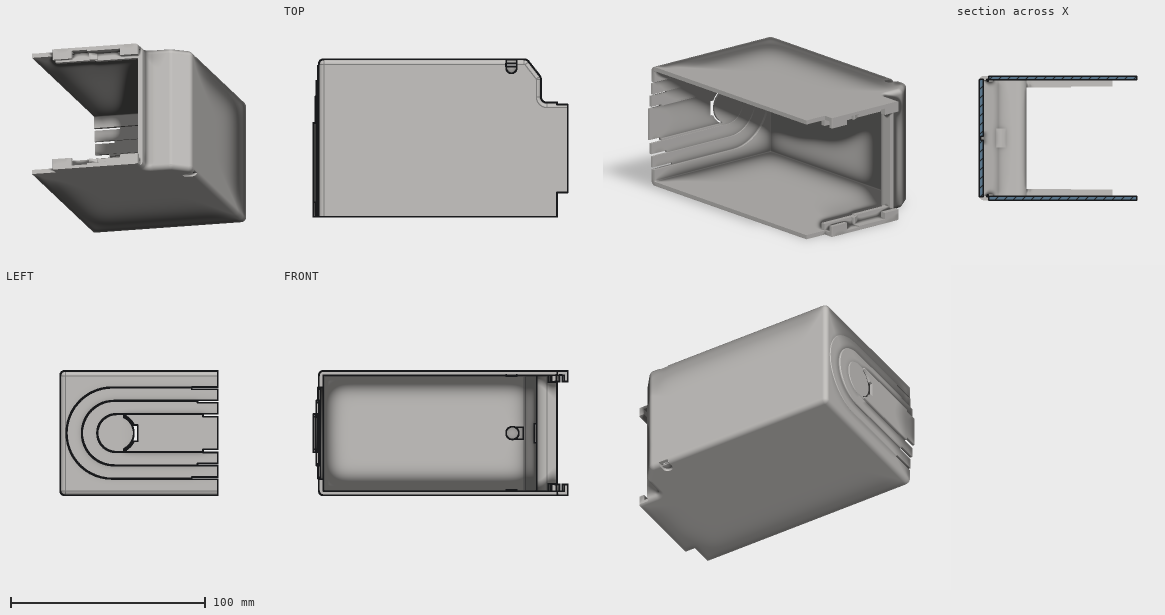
import cadquery as cq

WALL = 2.2
HEIGHT = 64.0
DEPTH = 81.0
PLATE_END_X = 122.4
EAR_END_X = 128.0
EAR_FRONT_Y = 12.5
EAR_BACK_Y = 57.8
EAR_CORNER_RADIUS = 0.4
EDGE_RADIUS = 2.5
INNER_RADIUS = 0.5
MARGIN = 10.0
CUT_CLEARANCE = 1.0

SLANT_START_X = 106.9
STEP_X = 114.2
SLANT_END_Y = 71.7
SHELF_Y = 58.8
SLANT_CORNER_RADIUS = 3.0
SHELF_CORNER_RADIUS = 2.9

HALF_HEIGHT = HEIGHT / 2
INNER_HALF = HALF_HEIGHT - WALL
INNER_BACK_Y = DEPTH - WALL

PANELS = [
    (23.6, 77.9, -0.4, 0.7, 1.0, 13.4),
    (16.75, 70.0, -1.4, -0.1, 1.1, 10.4),
]
PANEL_BEVEL = 0.35

TONGUE_HALF_WIDTH = 9.9
TONGUE_TOP_Y = 62.1
TONGUE_OUTER_X = -2.9
TONGUE_SKIN = 1.3
TONGUE_SIDE_WALL = 1.0
TONGUE_SLIT_WIDTH = 1.5
TONGUE_SLIT_LENGTH = 7.5
CENTRE_INNER_X = -0.5
DISC_OUTER_X = -1.8
DISC_RADIUS = 9.1
GAP_TOP_Y = 48.3
NOTCH_HALF_WIDTH = 4.1
NOTCH_BOTTOM_Y = 41.2

LATCH_X = 99.0
LATCH_Y = 76.5
LATCH_RADIUS = 2.7
LATCH_DEPTH = 1.7
LATCH_HOLE_LENGTH = 1.5
LATCH_BUMP = 0.7

KEYHOLE_X = 99.5
KEYHOLE_RADIUS = 3.3
KEYHOLE_DEPTH = 1.2
KEYHOLE_SLOT_WIDTH = 6.1
KEYHOLE_SLOT_DEPTH = 0.8
KEYHOLE_SLOT_END_X = 105.1
RAMP_HALF_WIDTH = 4.9
RAMP_RISE = 1.2
RAMP_TIP_Y = 69.5
RAMP_FOOT_Y = 67.0
RAMP_BACK_Y = 73.0

LIP_HEIGHT = 5.6
REAR_RAIL_HEIGHT = 5.9
RAIL_FRONT_X = (119.6, 122.1)
RAIL_REAR_X = (118.9, 121.4)
RAIL_STEP_Y = 33.7
RAIL_BLOCK_X = 117.8
RAIL_BLOCK_Y = 55.2
LEDGE_FRONT_Y = 22.2
LEDGE_HEIGHT = 0.4
TAB_X = 123.8
TAB_FRONT_Y = 30.8
TAB_SHOULDER_Y = 31.6
TAB_ROOT_Y = 34.8
FRONT_LIP_X = 126.0
FRONT_LIP_END_Y = 22.6
REAR_LIP_X = 125.0
REAR_LIP_START_Y = 48.3
EAR_RECESS_DEPTH = 0.7


def block(x0, x1, y0, y1, z0, z1):
    """Box between opposite corners."""
    return cq.Workplane("XY").box(x1 - x0, y1 - y0, z1 - z0, centered=False).translate((x0, y0, z0))


def both_plates(feature):
    """The feature together with its mirror image on the opposite plate."""
    return feature.union(feature.mirror("XY"))


def arch(half_width, top_y, x0, x1):
    """Round-topped prism along X, reaching past the open side."""
    centre_y = top_y - half_width
    return (
        cq.Workplane("YZ", origin=(x0, 0, 0))
        .moveTo(-MARGIN, -half_width)
        .lineTo(centre_y, -half_width)
        .threePointArc((top_y, 0), (centre_y, half_width))
        .lineTo(-MARGIN, half_width)
        .close()
        .extrude(x1 - x0)
    )


def bevelled_arch(half_width, top_y, x0, x1):
    """Arch with a bevel around its outer face."""
    return arch(half_width, top_y, x0, x1).faces("<X").edges().chamfer(PANEL_BEVEL)


def slit_pair(half_width, slit_width, length):
    """Slits that free both sides of a panel at the open edge."""
    slit = block(-MARGIN, WALL + CUT_CLEARANCE, -MARGIN, length, half_width - slit_width, half_width)
    return both_plates(slit)


def outline_solid():
    """Solid in the shape of the side plates, with both open ends overshooting."""
    far_x = EAR_END_X + MARGIN
    points = [
        (0, -MARGIN),
        (far_x, -MARGIN),
        (far_x, SHELF_Y),
        (STEP_X, SHELF_Y),
        (STEP_X, SLANT_END_Y),
        (SLANT_START_X, DEPTH),
        (0, DEPTH),
    ]
    solid = cq.Workplane("XY").workplane(offset=-HALF_HEIGHT).polyline(points).close().extrude(HEIGHT)
    for x, y, radius in (
        (STEP_X, SHELF_Y, SHELF_CORNER_RADIUS),
        (STEP_X, SLANT_END_Y, SLANT_CORNER_RADIUS),
        (SLANT_START_X, DEPTH, SLANT_CORNER_RADIUS),
        (0, DEPTH, EDGE_RADIUS),
    ):
        solid = solid.edges(cq.selectors.NearestToPointSelector((x, y, 0))).fillet(radius)
    return solid


def shell():
    """Rounded outer body, hollowed so that the Y = 0 and +X sides stay open."""
    plan = outline_solid()
    cavity = (
        plan.faces("<Z").wires().toPending()
        .offset2D(-WALL)
        .extrude(2 * INNER_HALF, combine=False)
        .translate((0, 0, WALL))
        .faces("<Z or >Z").edges().fillet(INNER_RADIUS)
    )
    body = plan.faces("<Z or >Z").edges().fillet(EDGE_RADIUS)
    body = body.intersect(block(0, EAR_END_X, 0, DEPTH, -HALF_HEIGHT, HALF_HEIGHT)).cut(cavity)
    for y0, y1 in ((0, EAR_FRONT_Y), (EAR_BACK_Y, DEPTH)):
        body = body.cut(block(PLATE_END_X, EAR_END_X, y0, y1, -HALF_HEIGHT, HALF_HEIGHT))
    return body.cut(block(PLATE_END_X, EAR_END_X, 0, DEPTH, -INNER_HALF, INNER_HALF))


def add_panels(body):
    """Raise each panel outward, hollow it from inside and free its open end with slits."""
    for half_width, top_y, outer_x, inner_x, slit_width, slit_length in PANELS:
        body = body.union(bevelled_arch(half_width, top_y, outer_x, inner_x))
        body = body.cut(arch(half_width, top_y, inner_x, WALL + CUT_CLEARANCE))
        body = body.cut(slit_pair(half_width, slit_width, slit_length))
    return body


def centre_panel():
    """Disc joined above to its surround, and a raised tongue ending in a concave arc."""
    centre_y = TONGUE_TOP_Y - TONGUE_HALF_WIDTH
    inner_half = TONGUE_HALF_WIDTH - TONGUE_SIDE_WALL

    def cylinder(radius):
        profile = cq.Workplane("YZ", origin=(TONGUE_OUTER_X, centre_y, 0)).circle(radius)
        return profile.extrude(WALL - TONGUE_OUTER_X)

    def below_gap_top(x0, x1, half_width):
        return block(x0, x1, -MARGIN, GAP_TOP_Y, -half_width, half_width)

    opening = cylinder(TONGUE_HALF_WIDTH)
    tongue = bevelled_arch(TONGUE_HALF_WIDTH, TONGUE_TOP_Y, TONGUE_OUTER_X, CENTRE_INNER_X)
    tongue = tongue.intersect(below_gap_top(TONGUE_OUTER_X, CENTRE_INNER_X, TONGUE_HALF_WIDTH))
    tongue = tongue.cut(below_gap_top(TONGUE_OUTER_X + TONGUE_SKIN, WALL, inner_half))
    notch = block(TONGUE_OUTER_X, WALL, NOTCH_BOTTOM_Y, centre_y, -NOTCH_HALF_WIDTH, NOTCH_HALF_WIDTH)
    tongue = tongue.cut(opening).cut(notch)

    surround = bevelled_arch(TONGUE_HALF_WIDTH, TONGUE_TOP_Y, DISC_OUTER_X, CENTRE_INNER_X)
    surround = surround.cut(below_gap_top(DISC_OUTER_X, CENTRE_INNER_X, TONGUE_HALF_WIDTH))
    depth_range = block(DISC_OUTER_X, CENTRE_INNER_X, 0, DEPTH, -HALF_HEIGHT, HALF_HEIGHT)
    disc = cylinder(DISC_RADIUS).intersect(depth_range)
    return tongue.union(surround).union(disc)


def add_centre_panel(body):
    """Open the surrounding panel right through, then fill in the stepped centre."""
    body = body.cut(arch(TONGUE_HALF_WIDTH, TONGUE_TOP_Y, TONGUE_OUTER_X, WALL + CUT_CLEARANCE))
    body = body.union(centre_panel())
    return body.cut(slit_pair(TONGUE_HALF_WIDTH, TONGUE_SLIT_WIDTH, TONGUE_SLIT_LENGTH))


def add_latches(body):
    """Round-ended recess with a bump under it and a slot through at the inner back face."""
    x0, x1 = LATCH_X - LATCH_RADIUS, LATCH_X + LATCH_RADIUS
    floor_z = HALF_HEIGHT - LATCH_DEPTH

    def round_pad(bottom_z, height):
        return cq.Workplane("XY", origin=(LATCH_X, LATCH_Y, bottom_z)).circle(LATCH_RADIUS).extrude(height)

    bump = round_pad(INNER_HALF - LATCH_BUMP, LATCH_BUMP)
    recess = round_pad(floor_z, LATCH_DEPTH)
    recess = recess.union(block(x0, x1, LATCH_Y, DEPTH, floor_z, HALF_HEIGHT))
    hole_y = INNER_BACK_Y - LATCH_HOLE_LENGTH
    hole = block(x0, x1, hole_y, INNER_BACK_Y, INNER_HALF - CUT_CLEARANCE, HALF_HEIGHT)
    return body.union(both_plates(bump)).cut(both_plates(recess.union(hole)))


def add_keyhole_and_ramp(body):
    """Round recess with a shallower slot, and a ramp standing on the inside of the step wall."""
    bore_plane = cq.Workplane("XZ", origin=(KEYHOLE_X, INNER_BACK_Y, 0))
    bore = bore_plane.circle(KEYHOLE_RADIUS).extrude(-KEYHOLE_DEPTH)
    half_slot = KEYHOLE_SLOT_WIDTH / 2
    slot_back_y = INNER_BACK_Y + KEYHOLE_SLOT_DEPTH
    slot = block(KEYHOLE_X, KEYHOLE_SLOT_END_X, INNER_BACK_Y, slot_back_y, -half_slot, half_slot)
    inner_step_x = STEP_X - WALL
    root_x = inner_step_x + WALL / 2
    tip_x = inner_step_x - RAMP_RISE
    ramp = (
        cq.Workplane("XY")
        .polyline([
            (root_x, RAMP_FOOT_Y),
            (inner_step_x, RAMP_FOOT_Y),
            (tip_x, RAMP_TIP_Y),
            (tip_x, RAMP_BACK_Y),
            (root_x, RAMP_BACK_Y),
        ])
        .close()
        .extrude(RAMP_HALF_WIDTH, both=True)
    )
    return body.cut(bore).cut(slot).union(ramp)


def add_ear_rails(body):
    """Stepped rail with a side tab, two lips hooking inward at the ear edge, and a recess between."""
    floor_z = -HALF_HEIGHT + WALL / 2
    inner_z = -INNER_HALF
    front_top = -HALF_HEIGHT + LIP_HEIGHT
    rear_top = -HALF_HEIGHT + REAR_RAIL_HEIGHT
    front_x0, front_x1 = RAIL_FRONT_X
    rear_x0, rear_x1 = RAIL_REAR_X
    rail = (
        block(front_x0, front_x1, EAR_FRONT_Y, TAB_ROOT_Y, floor_z, front_top)
        .union(block(rear_x0, rear_x1, RAIL_STEP_Y, EAR_BACK_Y, floor_z, rear_top))
        .union(block(RAIL_BLOCK_X, rear_x1, RAIL_BLOCK_Y, EAR_BACK_Y, floor_z, rear_top))
        .union(block(rear_x0, front_x1, LEDGE_FRONT_Y, RAIL_STEP_Y, floor_z, inner_z + LEDGE_HEIGHT))
    )
    tab = (
        cq.Workplane("XY", origin=(0, 0, floor_z))
        .polyline([
            (front_x0, TAB_FRONT_Y),
            (TAB_X, TAB_FRONT_Y),
            (TAB_X, TAB_SHOULDER_Y),
            (front_x1, TAB_ROOT_Y),
            (front_x0, TAB_ROOT_Y),
        ])
        .close()
        .extrude(front_top - floor_z)
    )
    front_lip = block(FRONT_LIP_X, EAR_END_X, EAR_FRONT_Y, FRONT_LIP_END_Y, floor_z, front_top)
    rear_lip = block(REAR_LIP_X, EAR_END_X, REAR_LIP_START_Y, EAR_BACK_Y, floor_z, front_top)
    recess_z = inner_z - EAR_RECESS_DEPTH
    recess = block(front_x1, EAR_END_X, FRONT_LIP_END_Y, TAB_FRONT_Y, recess_z, front_top)
    rails = rail.union(tab).union(front_lip).union(rear_lip)
    return body.union(both_plates(rails)).cut(both_plates(recess))


def rounded_ear_corners(body):
    """Round the upright corners at the ends of both ears."""
    for y in (EAR_FRONT_Y, EAR_BACK_Y):
        for z in (-HALF_HEIGHT, HALF_HEIGHT):
            corner = cq.selectors.NearestToPointSelector((EAR_END_X, y, z))
            body = body.edges("|Z").edges(corner).fillet(EAR_CORNER_RADIUS)
    return body


result = shell()
result = add_panels(result)
result = add_centre_panel(result)
result = add_latches(result)
result = add_keyhole_and_ramp(result)
result = add_ear_rails(result)
result = rounded_ear_corners(result)
result = result.cut(block(-MARGIN, EAR_END_X, -2 * MARGIN, 0, -HALF_HEIGHT, HALF_HEIGHT))